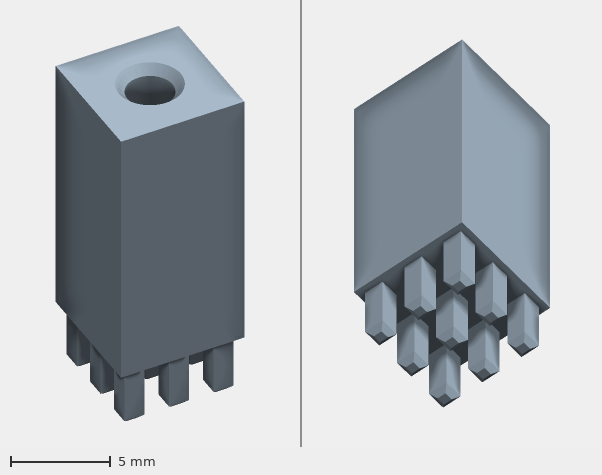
import cadquery as cq

total_height = 18.5
body_width = 7.0
body_height = 15.0
pin_length = total_height - body_height

pins_per_side = 3
pin_pitch = 2.53
pin_width = 1.13
tip_length = 0.31
tip_width = pin_width - 2 * tip_length

hole_diameter = 2.55
mouth_diameter = 3.5
countersink_depth = 0.5
hole_depth = 9.99
drill_point_depth = 0.74


def make_body():
    block = cq.Workplane("XY").box(body_width, body_width, body_height, centered=(True, True, False))
    return block.translate((0, 0, pin_length))


def make_hole():
    """Solid of revolution removed from the top of the body."""
    hole_radius = hole_diameter / 2
    hole_floor = total_height - hole_depth
    profile = (
        cq.Workplane("XZ")
        .moveTo(0, total_height)
        .lineTo(mouth_diameter / 2, total_height)
        .lineTo(hole_radius, total_height - countersink_depth)
        .lineTo(hole_radius, hole_floor)
        .lineTo(0, hole_floor - drill_point_depth)
        .close()
    )
    return profile.revolve(360, (0, 0, 0), (0, 1, 0))


def make_pin():
    """Square pin with its tapered tip at Z = 0."""
    shank_length = pin_length - tip_length
    shank = cq.Workplane("XY").workplane(offset=tip_length).rect(pin_width, pin_width).extrude(shank_length)
    tip = (
        cq.Workplane("XY")
        .rect(tip_width, tip_width)
        .workplane(offset=tip_length)
        .rect(pin_width, pin_width)
        .loft(ruled=True)
    )
    return shank.union(tip)


result = make_body().cut(make_hole())

pin = make_pin()
first_pin = -pin_pitch * (pins_per_side - 1) / 2
for column in range(pins_per_side):
    for row in range(pins_per_side):
        pin_x = first_pin + column * pin_pitch
        pin_y = first_pin + row * pin_pitch
        result = result.union(pin.translate((pin_x, pin_y, 0)))